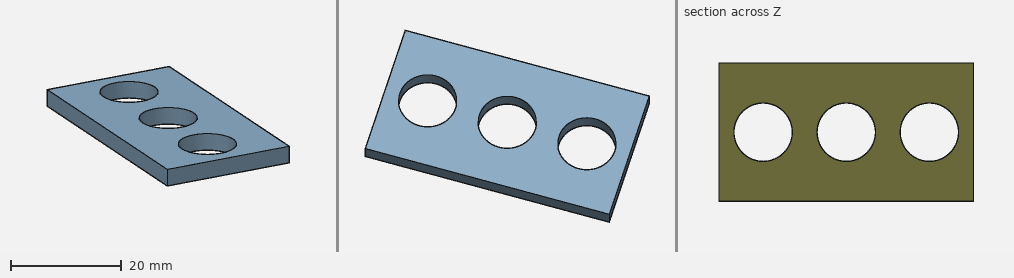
import cadquery as cq

length = 46.0
width = 25.0
thickness = 3.2

hole_diameter = 10.5
hole_pitch = 15.0
hole_count = 3

plate = cq.Workplane("XY").box(length, width, thickness)

result = (
    plate.faces(">Z")
    .workplane()
    .rarray(hole_pitch, width, hole_count, 1)
    .hole(hole_diameter)
)